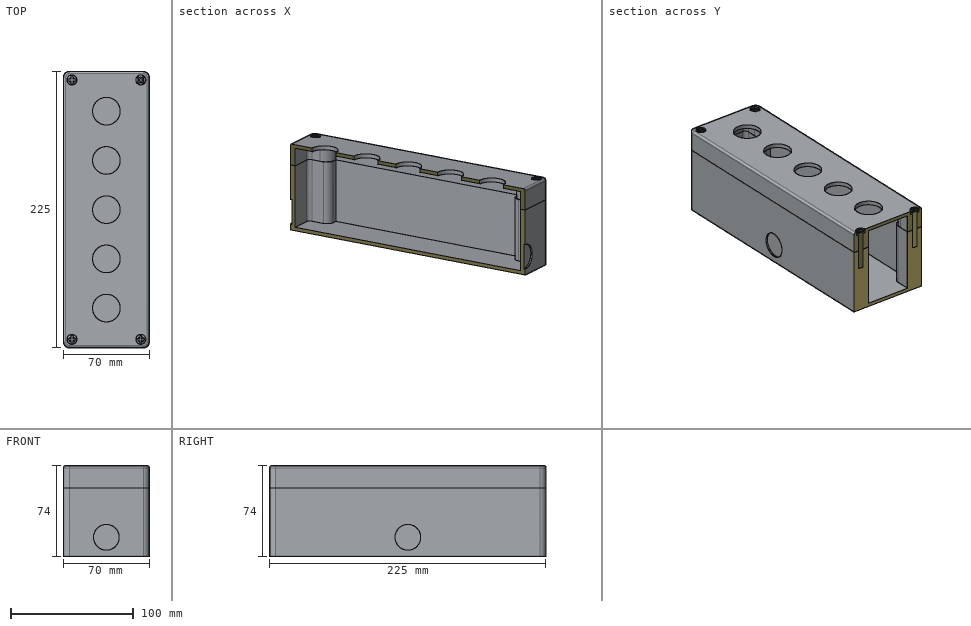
import cadquery as cq

LENGTH = 225.0
WIDTH = 70.0
HEIGHT = 74.0
CORNER_RADIUS = 5.0
WALL = 5.0
FLOOR = 3.4
BOTTOM_EDGE_RADIUS = 0.5

LID_HEIGHT = 18.0
LID_TOP = 3.4
LID_EDGE_RADIUS = 1.8
SEAM_Z = HEIGHT - LID_HEIGHT

HOLE_COUNT = 5
HOLE_DIAMETER = 22.5
HOLE_PITCH = 40.0

KNOCKOUT_DIAMETER = 21.0
KNOCKOUT_DEPTH = 1.4
KNOCKOUT_Z = 15.8

SCREW_INSET = 7.0
SCREW_X = WIDTH / 2 - SCREW_INSET
SCREW_Y = LENGTH / 2 - SCREW_INSET
HEAD_DIAMETER = 8.0
HEAD_HEIGHT = 3.2
HEAD_SLOPE_HEIGHT = 1.4
HEAD_SLOPE_WIDTH = 1.8
SHANK_DIAMETER = 4.0
SHANK_LENGTH = 31.5
HEAD_BOTTOM_Z = HEIGHT - HEAD_HEIGHT
SHANK_BOTTOM_Z = HEAD_BOTTOM_Z - SHANK_LENGTH
CROSS_LENGTH = 6.3
CROSS_WIDTH = 1.4
CROSS_DEPTH = 1.8

BOSS_WIDTH = 10.0
BOSS_LENGTH = 20.0
LID_BOSS_RADIUS = 9.0
HOUSING_BOSS_RADIUS = 5.8
BOSS_FILLET = 3.4
SELECTION_MARGIN = 0.02

SCREWS = [
    (-SCREW_X, -SCREW_Y, 0),
    (SCREW_X, -SCREW_Y, 0),
    (-SCREW_X, SCREW_Y, 0),
    (SCREW_X, SCREW_Y, 45),
]
SCREW_CENTRES = [(x, y) for x, y, _ in SCREWS]


def level(z):
    """Horizontal workplane at height z."""
    return cq.Workplane("XY").workplane(offset=z)


def rounded_block(z_bottom, height):
    """Block with the enclosure's outline and rounded upright edges."""
    block = level(z_bottom).rect(WIDTH, LENGTH).extrude(height)
    return block.edges("|Z").fillet(CORNER_RADIUS)


def cavity(z_bottom, height, boss_corner_radius):
    """Inner space between the walls, less a rounded boss in each corner."""
    plane = level(z_bottom)
    inner_width = WIDTH - 2 * WALL
    inner_length = LENGTH - 2 * WALL
    middle = plane.rect(inner_width, inner_length - 2 * BOSS_LENGTH).extrude(height)
    passage = plane.rect(inner_width - 2 * BOSS_WIDTH, inner_length).extrude(height)
    space = middle.union(passage)
    reach_x = inner_width / 2 - SELECTION_MARGIN
    reach_y = inner_length / 2 - SELECTION_MARGIN
    boss_corners = cq.selectors.BoxSelector((-reach_x, -reach_y, 0), (reach_x, reach_y, HEIGHT))
    space = space.edges("|Z").edges(boss_corners).fillet(boss_corner_radius)
    passage_corners = space.faces(">Y or <Y").edges("|Z")
    return passage_corners.fillet(BOSS_FILLET)


def make_screw(x, y, turn):
    """Flush screw with a chamfered head and a cross slot."""
    head = level(HEAD_BOTTOM_Z).circle(HEAD_DIAMETER / 2).extrude(HEAD_HEIGHT)
    head = head.faces(">Z").chamfer(HEAD_SLOPE_HEIGHT, HEAD_SLOPE_WIDTH)
    shank = level(SHANK_BOTTOM_Z).circle(SHANK_DIAMETER / 2).extrude(SHANK_LENGTH)
    slot = level(HEIGHT - CROSS_DEPTH)
    cross = slot.rect(CROSS_LENGTH, CROSS_WIDTH).extrude(CROSS_DEPTH)
    cross = cross.union(slot.rect(CROSS_WIDTH, CROSS_LENGTH).extrude(CROSS_DEPTH))
    screw = head.union(shank).cut(cross)
    return screw.rotate((0, 0, 0), (0, 0, 1), turn).translate((x, y, 0))


def cut_screw_holes(body):
    """Counterbored holes that match the screws."""
    shanks = level(SHANK_BOTTOM_Z).pushPoints(SCREW_CENTRES)
    heads = level(HEAD_BOTTOM_Z).pushPoints(SCREW_CENTRES)
    body = body.cut(shanks.circle(SHANK_DIAMETER / 2).extrude(SHANK_LENGTH))
    return body.cut(heads.circle(HEAD_DIAMETER / 2).extrude(HEAD_HEIGHT))


def make_housing():
    """Open box with a knockout in the middle of each wall."""
    body = rounded_block(0, SEAM_Z).faces("<Z").edges().fillet(BOTTOM_EDGE_RADIUS)
    body = body.cut(cavity(FLOOR, SEAM_Z - FLOOR, HOUSING_BOSS_RADIUS))
    radius = KNOCKOUT_DIAMETER / 2
    for side in (-1, 1):
        for plane, reach in (("YZ", WIDTH / 2), ("XZ", LENGTH / 2)):
            wall = cq.Workplane(plane).workplane(offset=side * reach).center(0, KNOCKOUT_Z)
            body = body.cut(wall.circle(radius).extrude(-side * KNOCKOUT_DEPTH))
    return cut_screw_holes(body)


def make_lid():
    """Hollow lid with a rounded top edge and a row of through holes."""
    body = rounded_block(SEAM_Z, LID_HEIGHT).faces(">Z").edges().fillet(LID_EDGE_RADIUS)
    body = body.cut(cavity(SEAM_Z, LID_HEIGHT - LID_TOP, LID_BOSS_RADIUS))
    holes = level(SEAM_Z).rarray(2.2, HOLE_PITCH, 1, HOLE_COUNT)
    body = body.cut(holes.circle(HOLE_DIAMETER / 2).extrude(LID_HEIGHT))
    return cut_screw_holes(body)


housing = make_housing()
lid = make_lid()
screws = [make_screw(x, y, turn) for x, y, turn in SCREWS]

result = cq.Compound.makeCompound([housing.val(), lid.val(), *[screw.val() for screw in screws]])